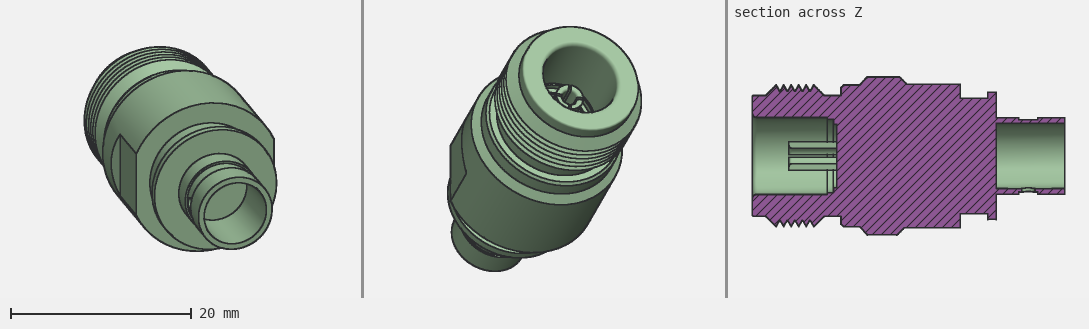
import cadquery as cq

LENGTH = 34.58

BARREL_RADIUS = 6.7
BARREL_END_ROUND = 0.25
THREAD_CREST_RADIUS = 7.85
THREAD_ROOT_RADIUS = 7.12
THREAD_FIRST_CREST = 2.65
THREAD_PITCH = 0.83
THREAD_CREST_COUNT = 6
THREAD_RUNOUT = THREAD_CREST_RADIUS - BARREL_RADIUS

COLLAR_START = 9.82
COLLAR_RADIUS = 7.85
COLLAR_CHAMFER = 0.3
BODY_CONE_START = 11.9
BODY_START = 12.73
BODY_END = 23.03
BODY_RADIUS = 8.75

FLAT_DISTANCE = 7.95
FLAT_RAMP = BODY_RADIUS - FLAT_DISTANCE
FRONT_FLAT_START = 16.8
BACK_FLAT_START = 17.08

SHOULDER_RADIUS = 6.4
FLANGE_START = 26.05
FLANGE_END = 27.0
FLANGE_RADIUS = 7.05
STEM_RADIUS = 4.25
GROOVE_START = 29.5
GROOVE_END = 31.57
GROOVE_RADIUS = 4.0
STEM_BORE_RADIUS = 3.6
STEM_HOLE_RADIUS = 0.73

BORE_RADIUS = 4.25
MOUTH_ROUND = 0.52
BORE_DEPTH = 8.3
LEDGE_RADIUS = 4.05
LEDGE_DEPTH = 9.0
INSULATOR_RADIUS = 3.5
INSULATOR_DEPTH = 9.35

CONTACT_TIP = 4.08
CONTACT_RADIUS = 1.55
CONTACT_BORE_RADIUS = 0.85
CONTACT_MOUTH_ROUND = 0.3
CONTACT_SLOT_WIDTH = 0.28


def cylinder(start, end, radius):
    """Solid cylinder on the X axis from x = start to x = end."""
    return cq.Workplane("YZ", origin=(start, 0, 0)).circle(radius).extrude(end - start)


def thread_points():
    """Profile of the ridges, from the first end cone to the last."""
    last_crest = THREAD_FIRST_CREST + (THREAD_CREST_COUNT - 1) * THREAD_PITCH
    points = [(THREAD_FIRST_CREST - THREAD_RUNOUT, BARREL_RADIUS)]
    for i in range(THREAD_CREST_COUNT):
        crest = THREAD_FIRST_CREST + i * THREAD_PITCH
        if i > 0:
            points.append((crest - THREAD_PITCH / 2, THREAD_ROOT_RADIUS))
        points.append((crest, THREAD_CREST_RADIUS))
    points.append((last_crest + THREAD_RUNOUT, BARREL_RADIUS))
    return points


def turned_body():
    """Revolve the outside profile, given as (x, radius) points."""
    profile = [
        (0, 0),
        (0, BARREL_RADIUS),
        *thread_points(),
        (COLLAR_START, BARREL_RADIUS),
        (COLLAR_START, COLLAR_RADIUS - COLLAR_CHAMFER),
        (COLLAR_START + COLLAR_CHAMFER, COLLAR_RADIUS),
        (BODY_CONE_START, COLLAR_RADIUS),
        (BODY_START, BODY_RADIUS),
        (BODY_END, BODY_RADIUS),
        (BODY_END, SHOULDER_RADIUS),
        (FLANGE_START, SHOULDER_RADIUS),
        (FLANGE_START, FLANGE_RADIUS),
        (FLANGE_END, FLANGE_RADIUS),
        (FLANGE_END, STEM_RADIUS),
        (GROOVE_START, STEM_RADIUS),
        (GROOVE_START, GROOVE_RADIUS),
        (GROOVE_END, GROOVE_RADIUS),
        (GROOVE_END, STEM_RADIUS),
        (LENGTH, STEM_RADIUS),
        (LENGTH, 0),
    ]
    return cq.Workplane("XY").polyline(profile).close().revolve(360, (0, 0, 0), (1, 0, 0))


def flat_cutter(side, start):
    """Material removed for one flat; side is -1 for the -Y flat and +1 for the +Y flat."""
    outline = [
        (start, side * FLAT_DISTANCE),
        (start - FLAT_RAMP, side * BODY_RADIUS),
        (BODY_END, side * BODY_RADIUS),
        (BODY_END, side * FLAT_DISTANCE),
    ]
    return cq.Workplane("XY").polyline(outline).close().extrude(BODY_RADIUS, both=True)


def socket_cavity():
    """Stepped cavity behind the mating face."""
    bore = cylinder(0, BORE_DEPTH, BORE_RADIUS)
    ledge = cylinder(0, LEDGE_DEPTH, LEDGE_RADIUS)
    insulator_recess = cylinder(0, INSULATOR_DEPTH, INSULATOR_RADIUS)
    return bore.union(ledge).union(insulator_recess)


def centre_contact():
    """Tube with a rounded mouth, split into four fingers by crossed slots."""
    length = INSULATOR_DEPTH - CONTACT_TIP
    contact = cylinder(CONTACT_TIP, INSULATOR_DEPTH, CONTACT_RADIUS)
    contact = contact.cut(cylinder(CONTACT_TIP, INSULATOR_DEPTH, CONTACT_BORE_RADIUS))
    mouth_edge = contact.faces("<X").edges(cq.selectors.RadiusNthSelector(0))
    contact = mouth_edge.fillet(CONTACT_MOUTH_ROUND)
    slots = cq.Workplane("YZ", origin=(CONTACT_TIP, 0, 0))
    for angle in (0, 90):
        slot = slots.transformed(rotate=(0, 0, angle))
        slot = slot.rect(2 * CONTACT_RADIUS, CONTACT_SLOT_WIDTH).extrude(length)
        contact = contact.cut(slot)
    return contact


def stem_openings():
    """Bore from the rear end and the small inspection hole on the -Y side of the groove."""
    bore = cylinder(FLANGE_END, LENGTH, STEM_BORE_RADIUS)
    groove_middle = (GROOVE_START + GROOVE_END) / 2
    hole = cq.Workplane("XZ", origin=(groove_middle, 0, 0)).circle(STEM_HOLE_RADIUS).extrude(STEM_RADIUS)
    return bore.union(hole)


result = turned_body()
result = result.cut(flat_cutter(-1, FRONT_FLAT_START))
result = result.cut(flat_cutter(1, BACK_FLAT_START))
result = result.cut(socket_cavity())
mouth_edge = result.faces("<X").edges(cq.selectors.RadiusNthSelector(0))
result = mouth_edge.fillet(MOUTH_ROUND)
barrel_edge = result.faces("<X").edges(cq.selectors.RadiusNthSelector(-1))
result = barrel_edge.fillet(BARREL_END_ROUND)
result = result.union(centre_contact())
result = result.cut(stem_openings())